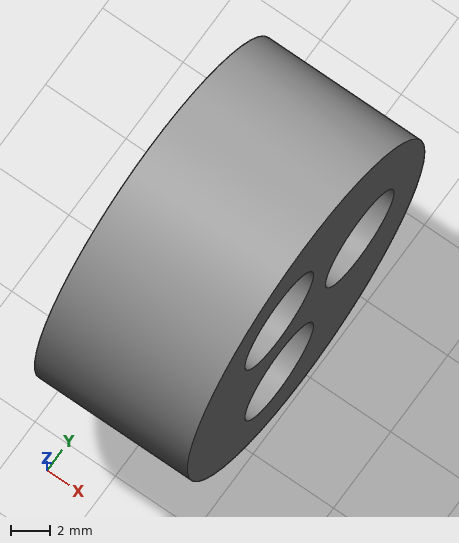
import cadquery as cq

disc_diameter = 20.8
disc_thickness = 9.5
hole_diameter = 6.0
hole_circle_radius = 4.7
hole_count = 3


def make_disc():
    """Plain round disc with its axis along X."""
    return cq.Workplane("YZ").circle(disc_diameter / 2).extrude(disc_thickness)


def make_hole_cutters():
    """Through-hole cylinders evenly spaced about the X axis, the first one on +Y."""
    return (
        cq.Workplane("YZ")
        .polarArray(hole_circle_radius, 0, 360, hole_count)
        .circle(hole_diameter / 2)
        .extrude(disc_thickness)
    )


result = make_disc().cut(make_hole_cutters())